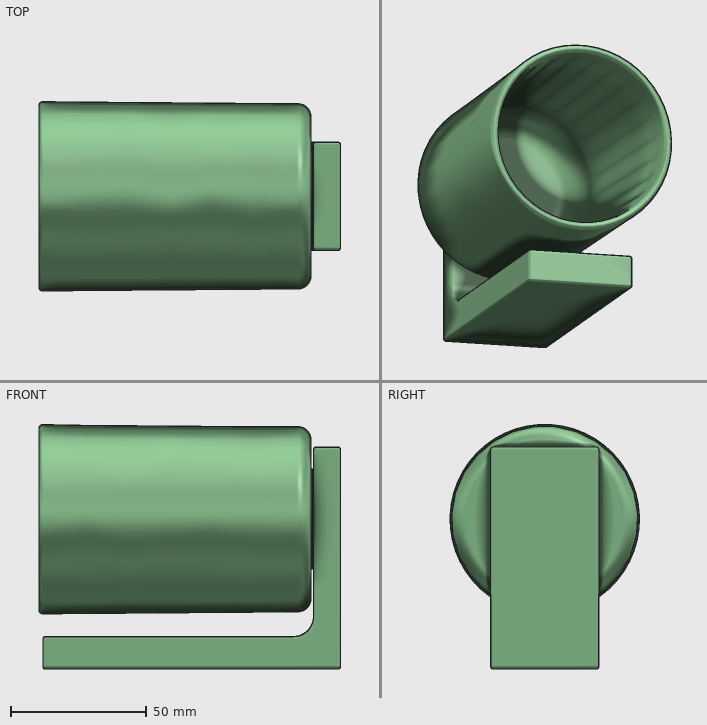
import cadquery as cq


total_length = 111.4
total_height = 90.3

cup_length = 100.5
mouth_radius = 35.0
base_radius = 34.2
base_rounding = 5.0
rim_thickness = 3.0
inner_base_radius = 29.2
inner_rounding = 10.0
floor_thickness = 5.0

bracket_length = 110.0
bracket_width = 40.0
bracket_height = 82.0
foot_thickness = 12.0
upright_thickness = 10.0
inside_corner_radius = 7.5
edge_rounding = 1.0

upright_face = total_length - upright_thickness

disc_count = 2
disc_radius = 18.5
disc_thickness = (upright_face - cup_length) / disc_count


def make_cup():
    """Tapered cup with a full-round rim and rounded corners at the base, outside and inside."""
    rim_radius = rim_thickness / 2
    inner_mouth_radius = mouth_radius - rim_thickness
    floor = cup_length - floor_thickness

    outside = (
        cq.Workplane("XZ")
        .moveTo(rim_radius, 0)
        .lineTo(cup_length, 0)
        .lineTo(cup_length, -base_radius)
        .lineTo(rim_radius, -mouth_radius)
        .close()
        .revolve(360, (0, 0), (1, 0))
        .faces(">X")
        .edges()
        .fillet(base_rounding)
    )
    cavity = (
        cq.Workplane("XZ")
        .moveTo(rim_radius, 0)
        .lineTo(floor, 0)
        .lineTo(floor, -inner_base_radius)
        .lineTo(rim_radius, -inner_mouth_radius)
        .close()
        .revolve(360, (0, 0), (1, 0))
        .faces(">X")
        .edges()
        .fillet(inner_rounding)
    )
    rim = (
        cq.Workplane("XZ")
        .moveTo(rim_radius, -inner_mouth_radius)
        .threePointArc((0, rim_radius - mouth_radius), (rim_radius, -mouth_radius))
        .close()
        .revolve(360, (0, 0), (1, 0))
    )
    return outside.cut(cavity).union(rim)


def make_bracket():
    """L-shaped bracket with a rounded inside corner and all its outer edges rounded."""
    bottom = mouth_radius - total_height
    foot_start = total_length - bracket_length
    foot_top = bottom + foot_thickness

    outline = (
        cq.Workplane("XZ")
        .moveTo(foot_start, bottom)
        .lineTo(total_length, bottom)
        .lineTo(total_length, bottom + bracket_height)
        .lineTo(upright_face, bottom + bracket_height)
        .lineTo(upright_face, foot_top + inside_corner_radius)
        .radiusArc((upright_face - inside_corner_radius, foot_top), inside_corner_radius)
        .lineTo(foot_start, foot_top)
        .close()
    )
    return outline.extrude(bracket_width / 2, both=True).edges().fillet(edge_rounding)


def make_disc(start):
    """Flat disc on the cup axis, filling its share of the gap, from X = start."""
    return cq.Workplane("YZ", origin=(start, 0, 0)).circle(disc_radius).extrude(disc_thickness)


cup = make_cup()
bracket = make_bracket()
discs = [make_disc(cup_length + i * disc_thickness) for i in range(disc_count)]

result = cq.Compound.makeCompound([cup.val(), bracket.val(), *[disc.val() for disc in discs]])